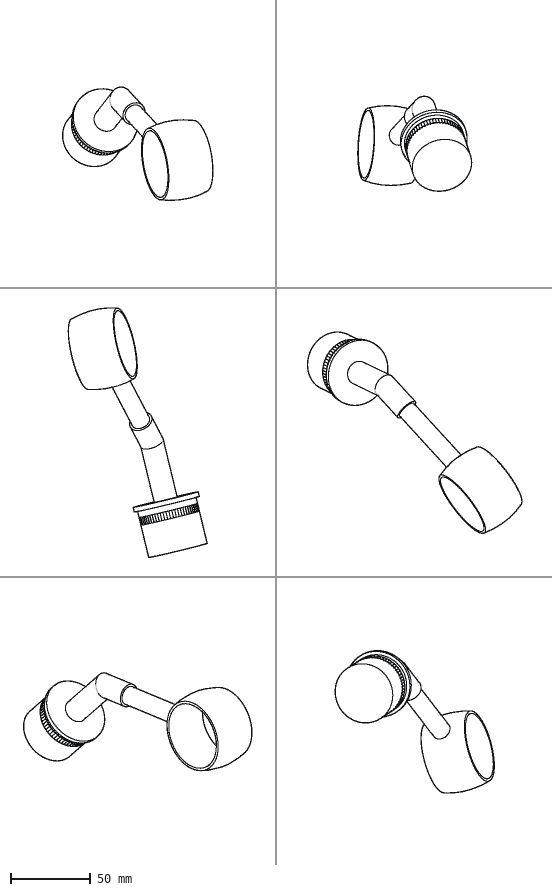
import cadquery as cq
import math

RING_WIDTH = 30.0
RING_OUTER_RADIUS = 25.2
RING_BORE_RADIUS = 21.25
RING_CROWN_RADIUS = 50.0

ROD_DIAMETER = 12.0
ELBOW_DIAMETER = 15.0
BEND_ANGLE = 45.0
BEND_X = -93.43
ELBOW_ARM_LENGTH = 21.4

CAP_RADIUS = 19.0
CAP_BOTTOM_DISTANCE = 69.77
PLAIN_HEIGHT = 21.0
KNURL_HEIGHT = 5.0
NECK_HEIGHT = 4.0
FLANGE_HEIGHT = 3.0
FLANGE_RADIUS = 21.1
KNURL_COUNT = 60
KNURL_DEPTH = 0.9

ELBOW_END_X = BEND_X + ELBOW_ARM_LENGTH
CAP_HEIGHT = PLAIN_HEIGHT + KNURL_HEIGHT + NECK_HEIGHT + FLANGE_HEIGHT
ELBOW_LEG_LENGTH = CAP_BOTTOM_DISTANCE - CAP_HEIGHT

bend = math.radians(BEND_ANGLE)
UPWARD_AXIS = cq.Vector(math.cos(bend), 0, math.sin(bend))
BEND_POINT = cq.Vector(BEND_X, 0, 0)
CAP_TOP_CENTER = BEND_POINT - UPWARD_AXIS * ELBOW_LEG_LENGTH
CAP_BOTTOM_CENTER = BEND_POINT - UPWARD_AXIS * CAP_BOTTOM_DISTANCE


def make_barrel():
    """Solid barrel with a crowned outside, before boring."""
    half_width = RING_WIDTH / 2
    crown_drop = RING_CROWN_RADIUS - math.sqrt(RING_CROWN_RADIUS**2 - half_width**2)
    rim_radius = RING_OUTER_RADIUS - crown_drop
    return (
        cq.Workplane("XY")
        .moveTo(0, -half_width)
        .lineTo(rim_radius, -half_width)
        .threePointArc((RING_OUTER_RADIUS, 0), (rim_radius, half_width))
        .lineTo(0, half_width)
        .close()
        .revolve(360, (0, 0, 0), (0, 1, 0))
    )


def make_ring():
    bore = cq.Workplane("XZ", origin=(0, RING_WIDTH / 2, 0)).circle(RING_BORE_RADIUS).extrude(RING_WIDTH)
    return make_barrel().cut(bore)


def make_rod():
    """Rod from the elbow end face to the ring, its tip shaped to the barrel surface."""
    bar = cq.Workplane("YZ", origin=(ELBOW_END_X, 0, 0)).circle(ROD_DIAMETER / 2).extrude(-ELBOW_END_X)
    return bar.cut(make_barrel())


def make_elbow():
    """Bar swept along two straight legs that meet in a mitre."""
    path = (
        cq.Workplane("XZ")
        .moveTo(ELBOW_END_X, 0)
        .lineTo(BEND_X, 0)
        .lineTo(CAP_TOP_CENTER.x, CAP_TOP_CENTER.z)
    )
    section = cq.Workplane("YZ", origin=(ELBOW_END_X, 0, 0)).circle(ELBOW_DIAMETER / 2)
    return section.sweep(path, transition="right")


def polar_point(radius, angle):
    return (radius * math.cos(angle), radius * math.sin(angle))


def knurl_outline(plane):
    """Closed ring of rounded ribs whose crests lie on the cap radius."""
    pitch = 2 * math.pi / KNURL_COUNT
    valley_radius = CAP_RADIUS - KNURL_DEPTH
    outline = plane.moveTo(*polar_point(valley_radius, -pitch / 2))
    for rib in range(KNURL_COUNT):
        crest = polar_point(CAP_RADIUS, rib * pitch)
        valley = polar_point(valley_radius, (rib + 0.5) * pitch)
        outline = outline.threePointArc(crest, valley)
    return outline.close()


def make_cap():
    """Plain barrel, knurled band, neck and flange, stacked along the lower leg axis."""
    base = cq.Workplane(cq.Plane(CAP_BOTTOM_CENTER, xDir=(0, 1, 0), normal=UPWARD_AXIS))
    knurl_bottom = PLAIN_HEIGHT
    neck_bottom = knurl_bottom + KNURL_HEIGHT
    flange_bottom = neck_bottom + NECK_HEIGHT

    cap = base.circle(CAP_RADIUS).extrude(PLAIN_HEIGHT)
    knurl = knurl_outline(base.workplane(offset=knurl_bottom)).extrude(KNURL_HEIGHT)
    neck = base.workplane(offset=neck_bottom).circle(CAP_RADIUS).extrude(NECK_HEIGHT)
    flange = base.workplane(offset=flange_bottom).circle(FLANGE_RADIUS).extrude(FLANGE_HEIGHT)
    return cap.union(knurl).union(neck).union(flange)


ring = make_ring()
rod = make_rod()
elbow = make_elbow()
cap = make_cap()

result = cq.Compound.makeCompound([ring.val(), rod.val(), elbow.val(), cap.val()])